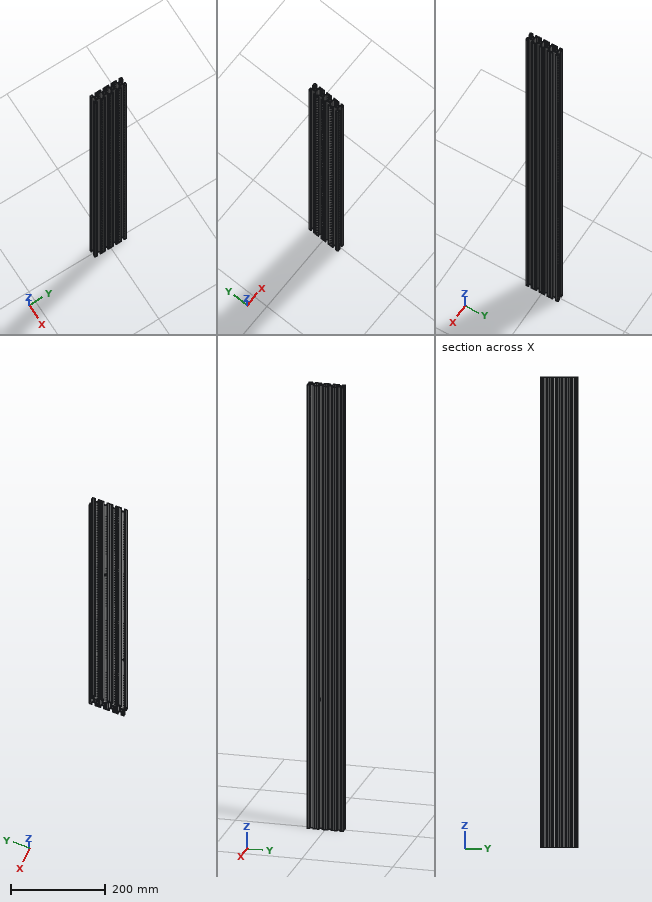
import cadquery as cq
import math

length = 1000.0
cell = 20.0
cell_count = 4
corner_radius = 1.5

core_radius = 4.4
bore_diameter = 4.4
arm_thickness = 1.5
root_fillet = 0.9

wall_thickness = 1.8
mouth_width = 7.0
undercut_depth = 2.8

half_cell = cell / 2
undercut_width = mouth_width + 2 * undercut_depth
hollow_length = cell - 2 * wall_thickness
cell_centres = [cell * (i - (cell_count - 1) / 2) for i in range(cell_count)]

arm_offset = arm_thickness / 2 * math.sqrt(2)

fillet_orbit = core_radius + root_fillet
fillet_angle = math.pi / 4 - math.asin((arm_thickness / 2 + root_fillet) / fillet_orbit)
fillet_x = fillet_orbit * math.sin(fillet_angle)
fillet_y = fillet_orbit * math.cos(fillet_angle)

toward_arm = -math.pi / 4
toward_core = -math.pi / 2 - fillet_angle


def fillet_point(angle):
    """Point on the right-hand root fillet."""
    return (fillet_x + root_fillet * math.cos(angle), fillet_y + root_fillet * math.sin(angle))


def mirrored(point):
    """The same point on the other side of the pocket's axis."""
    return (-point[0], point[1])


def pocket(width, top):
    """Space between two arms and the core of a cell, closed by a flat top."""
    arm_end = fillet_point(toward_arm)
    fillet_middle = fillet_point((toward_arm + toward_core) / 2)
    core_end = fillet_point(toward_core)
    wall_foot = (width / 2, width / 2 + arm_offset)
    wall_top = (width / 2, top)
    outline = (
        cq.Workplane("XY")
        .moveTo(*mirrored(arm_end))
        .threePointArc(mirrored(fillet_middle), mirrored(core_end))
        .threePointArc((0, core_radius), core_end)
        .threePointArc(fillet_middle, arm_end)
        .lineTo(*wall_foot)
        .lineTo(*wall_top)
        .lineTo(*mirrored(wall_top))
        .lineTo(*mirrored(wall_foot))
        .close()
    )
    return outline.extrude(length)


def placed(tool, y, angle):
    """Turn a tool about Z, then move it to the cell centred at y."""
    return tool.rotate((0, 0, 0), (0, 0, 1), angle).translate((0, y, 0))


mouth = (
    cq.Workplane("XY")
    .center(0, half_cell - wall_thickness / 2)
    .rect(mouth_width, wall_thickness)
    .extrude(length)
)
slot = pocket(undercut_width, half_cell - wall_thickness).union(mouth)

half_hollow = pocket(hollow_length, half_cell)

bar = cq.Workplane("XY").rect(cell, cell * cell_count).extrude(length)
bar = bar.edges("|Z").fillet(corner_radius)

for y in cell_centres:
    for angle in (90, -90):
        bar = bar.cut(placed(slot, y, angle))
bar = bar.cut(placed(slot, cell_centres[-1], 0))
bar = bar.cut(placed(slot, cell_centres[0], 180))

for lower, upper in zip(cell_centres, cell_centres[1:]):
    hollow = placed(half_hollow, lower, 0).union(placed(half_hollow, upper, 180))
    bar = bar.cut(hollow)

bores = (
    cq.Workplane("XY")
    .pushPoints([(0, y) for y in cell_centres])
    .circle(bore_diameter / 2)
    .extrude(length)
)
result = bar.cut(bores)